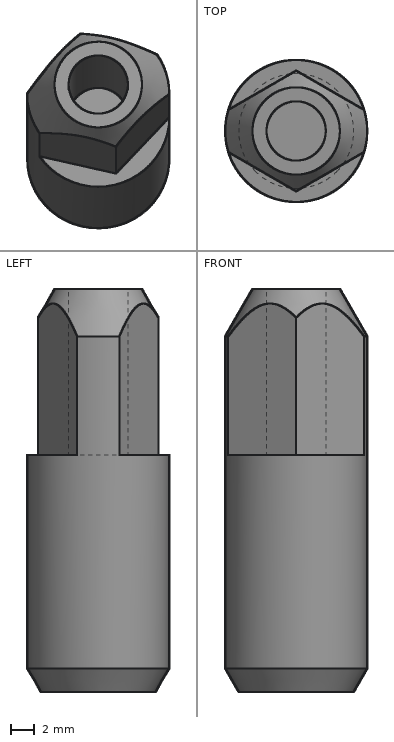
import cadquery as cq
import math

length = 34.0
body_diameter = 12.0
shoulder_height = 20.0
bottom_bevel_height = 2.0
top_bevel_height = 4.0
bevel_angle = 30.0
across_flats = 8.8
flat_angle = 30.0
bore_diameter = 5.0

body_radius = body_diameter / 2
bevel_slope = math.tan(math.radians(bevel_angle))
bottom_radius = body_radius - bottom_bevel_height * bevel_slope
top_radius = body_radius - top_bevel_height * bevel_slope
head_height = length - shoulder_height
bore_depth = head_height


def make_bevelled_body():
    """Round body with a conical bevel at each end."""
    profile = (
        cq.Workplane("XZ")
        .moveTo(0, 0)
        .lineTo(bottom_radius, 0)
        .lineTo(body_radius, bottom_bevel_height)
        .lineTo(body_radius, length - top_bevel_height)
        .lineTo(top_radius, length)
        .lineTo(0, length)
        .close()
    )
    return profile.revolve(360, (0, 0, 0), (0, 1, 0))


def make_head_envelope():
    """Diamond prism whose four sides are the wrench flats."""
    edge_y = across_flats / 2 / math.cos(math.radians(flat_angle))
    edge_x = across_flats / 2 / math.sin(math.radians(flat_angle))
    return (
        cq.Workplane("XY")
        .workplane(offset=shoulder_height)
        .polyline([(edge_x, 0), (0, edge_y), (-edge_x, 0), (0, -edge_y)])
        .close()
        .extrude(head_height)
    )


head_waste = (
    cq.Workplane("XY")
    .workplane(offset=shoulder_height)
    .rect(2 * body_diameter, 2 * body_diameter)
    .extrude(head_height)
    .cut(make_head_envelope())
)

bore = (
    cq.Workplane("XY")
    .workplane(offset=length - bore_depth)
    .circle(bore_diameter / 2)
    .extrude(bore_depth)
)

result = make_bevelled_body().cut(head_waste).cut(bore)